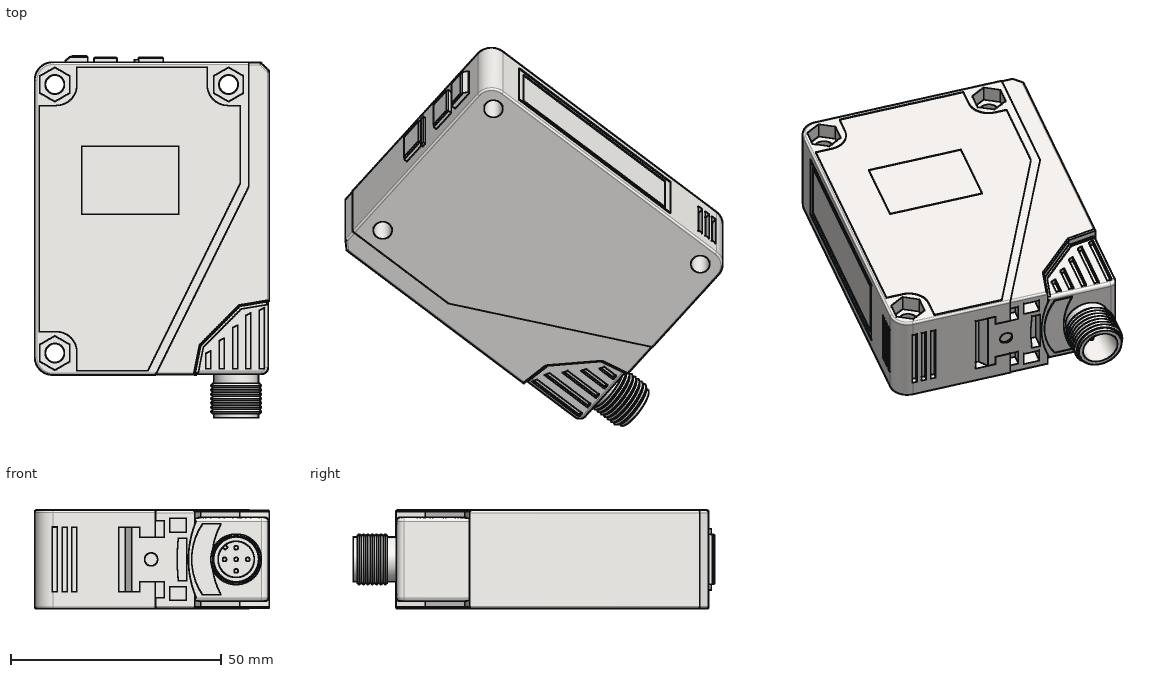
import cadquery as cq
import math


WIDTH = 55.8
LENGTH = 86.0
HEIGHT = 23.5
CONNECTOR_LENGTH = 10.15
BUTTON_HEIGHT = 1.5
DEPTH = LENGTH - CONNECTOR_LENGTH - BUTTON_HEIGHT
HALF = HEIGHT / 2
LEFT_RADIUS = 4.3
BACK_RIGHT_CHAMFER = 2.1
RIM_FILLET = 0.5
OVERRUN = 4.3

COVER_STEP = 0.1
SEAM_X_BACK = 50.9
SEAM_Y_BEND = 44.8
SEAM_X_FRONT = 28.7

HOLE_X = 4.8
HOLE_Y = 5.25
HOLE_PITCH_X = 41.3
HOLE_PITCH_Y = 63.8
HOLE_DIAMETER = 4.5
NUT_ACROSS_FLATS = 7.05
NUT_DEPTH = 3.95

LABEL_DEPTH = 0.2
LABEL_LEFT = 1.1
LABEL_RIGHT = 48.8
LABEL_FRONT = 1.0
LABEL_BACK = DEPTH - 1.2
LABEL_X_FRONT = 26.9
LABEL_Y_BEND = 45.5
PAD_LEFT_X = 10.1
PAD_RIGHT_X = 41.0
PAD_FRONT_Y = 10.3
PAD_BACK_Y = 64.0
PAD_RADIUS = 4.9
PLATE_X, PLATE_Y = 11.2, 38.2
PLATE_WIDTH, PLATE_LENGTH = 23.0, 16.2

WINDOW_Y = 41.7
WINDOW_LENGTH, WINDOW_HEIGHT = 46.6, 17.6
WINDOW_FRAME = 1.5
WINDOW_STEP = 0.2

GRIP_COUNT = 3
GRIP_WIDTH = 1.2
GRIP_DEPTH = 1.3
GRIP_FRONT_START, GRIP_FRONT_PITCH, GRIP_FRONT_HEIGHT = 4.2, 2.3, 15.3
GRIP_SIDE_START, GRIP_SIDE_PITCH, GRIP_SIDE_HEIGHT = 4.5, 2.1, 13.6

LATCH_X = 20.0
LATCH_FLAT = 1.5
LATCH_RAMP = 1.6
LATCH_DEPTH = 2.15
LATCH_HEIGHT = 15.3
TAB_HEAD_X = 25.0
TAB_NECK_HEIGHT = 10.6
SMALL_POCKET_WIDTH, SMALL_POCKET_HEIGHT, SMALL_POCKET_DEPTH = 2.1, 3.9, 2.6
SQUARE_X, SQUARE_Z = 32.15, 6.45
SQUARE_WIDTH, SQUARE_HEIGHT, SQUARE_DEPTH = 3.9, 3.3, 4.3
LAMP_X, LAMP_DIAMETER, LAMP_DEPTH = 27.7, 3.1, 0.5
NOTCH_X, NOTCH_RIGHT_X, NOTCH_HEIGHT, NOTCH_DEPTH = 33.9, 36.2, 10.15, 3.4
NOTCH_BULGE = 0.3

BLOCK_OUTLINE = [(WIDTH, 17.5), (48.7, 16.3), (39.45, 7.0), (38.1, 0.0)]
BLOCK_HALF = 10.0
BLOCK_RIGHT = WIDTH - 0.3
BLOCK_FRONT = 0.2
BLOCK_CORNER_RADIUS = 1.7
BLOCK_EDGE_FILLET = 0.9
RECESS_CHAMFER = 0.35
GAP_WIDTH = 0.7
GAP_DEPTH = 0.2
FACE_ARC_X_END = 38.8
FACE_ARC_X_MID = 36.5
VENT_FIRST_X, VENT_PITCH, VENT_WIDTH = 40.7, 3.2, 1.2
VENT_FRONT, VENT_DEPTH, VENT_SLANT = 1.5, 1.3, 0.6
VENT_LENGTHS = [4.3, 7.3, 10.4, 13.3, 14.5]
SIGN_LEFT_MID, SIGN_LEFT_END = 37.3, 39.9
SIGN_RIGHT_MID, SIGN_RIGHT_END = 42.1, 44.3
SIGN_HALF_HEIGHT = 8.4
SIGN_DEPTH = 0.2

CONNECTOR_X = 47.9
NECK_RADIUS, NECK_LENGTH = 5.3, 2.0
CREST_RADIUS, ROOT_RADIUS = 6.0, 5.6
THREAD_COUNT, THREAD_PITCH = 7, 1.0
TIP_RADIUS = 5.3
SOCKET_RADIUS, SOCKET_DEPTH = 4.3, 8.6
PIN_DIAMETER, PIN_LENGTH, PIN_CIRCLE_RADIUS = 0.95, 2.15, 2.75
KEY_SIZE, KEY_ANGLE = 0.9, 132

BUTTON_HALF_Z = 5.9
BUTTON_CHAMFER = 0.35
BUTTON_ROOT = 0.9
LEVER_X, LEVER_WIDTH, LEVER_SLOPE = 7.3, 5.3, 1.4
KEYS = [(14.1, 5.5), (24.6, 6.0)]
KEY_HEIGHT = 1.2
FOOT_X, FOOT_WIDTH, FOOT_HEIGHT, FOOT_HALF_Z = 23.7, 1.0, 0.6, 7.3


def box(x, y, z, dx, dy, dz):
    """Box from its lowest corner and its sizes."""
    return cq.Workplane("XY").box(dx, dy, dz, centered=False).translate((x, y, z))


def plan_prism(points, z_low, z_high):
    """Prism of a plan outline between two heights."""
    return cq.Workplane("XY").workplane(offset=z_low).polyline(points).close().extrude(z_high - z_low)


def front_plane(y):
    """Sketch plane parallel to the front face; negative extrusion goes into the part."""
    return cq.Workplane("XZ", origin=(0, y, 0))


def front_pocket(x, z_mid, width, height, depth):
    """Rectangular cutter entering the front face."""
    return box(x, 0, z_mid - height / 2, width, depth, height)


def shell(inset):
    """Rounded housing block, drawn in by `inset` at front, back, top and bottom."""
    body = box(0, inset, -HALF + inset, WIDTH, DEPTH - 2 * inset, HEIGHT - 2 * inset)
    body = body.edges("|Z and <X").fillet(LEFT_RADIUS)
    body = body.edges("|Z and >X and >Y").chamfer(BACK_RIGHT_CHAMFER)
    return body.faces("<Z or >Z").edges().fillet(RIM_FILLET)


def housing():
    """Front shell and rear cover joined along the bent seam."""
    far_x = WIDTH + OVERRUN
    slope = (SEAM_X_BACK - SEAM_X_FRONT) / SEAM_Y_BEND
    cover_outline = [
        (SEAM_X_FRONT - slope * OVERRUN, -OVERRUN),
        (SEAM_X_BACK, SEAM_Y_BEND),
        (SEAM_X_BACK, DEPTH + OVERRUN),
        (far_x, DEPTH + OVERRUN),
        (far_x, -OVERRUN),
    ]
    cover_zone = plan_prism(cover_outline, -HEIGHT, HEIGHT)
    return shell(0).cut(cover_zone).union(shell(COVER_STEP).intersect(cover_zone))


def fixing_holes():
    """Through holes with a hexagonal nut pocket at the top."""
    places = [
        (HOLE_X, HOLE_Y),
        (HOLE_X, HOLE_Y + HOLE_PITCH_Y),
        (HOLE_X + HOLE_PITCH_X, HOLE_Y + HOLE_PITCH_Y),
    ]
    plane = cq.Workplane("XY").workplane(offset=-HALF).pushPoints(places)
    holes = plane.circle(HOLE_DIAMETER / 2).extrude(HEIGHT)
    hexagon = cq.Sketch().regularPolygon(NUT_ACROSS_FLATS / math.sqrt(3), 6, 0)
    pockets = cq.Workplane("XY").workplane(offset=HALF - NUT_DEPTH).pushPoints(places)
    return holes.union(pockets.placeSketch(hexagon).extrude(NUT_DEPTH))


def label_recess():
    """Shallow label area, leaving rounded pads around the nut pockets, and the plate in it."""
    floor = HALF - LABEL_DEPTH
    outline = [
        (LABEL_LEFT, LABEL_FRONT),
        (LABEL_LEFT, LABEL_BACK),
        (LABEL_RIGHT, LABEL_BACK),
        (LABEL_RIGHT, LABEL_Y_BEND),
        (LABEL_X_FRONT, LABEL_FRONT),
    ]
    label = plan_prism(outline, floor, HALF)
    pad_length = DEPTH - PAD_BACK_Y
    pads = [
        (box(0, 0, floor, PAD_LEFT_X, PAD_FRONT_Y, LABEL_DEPTH), ">X and >Y"),
        (box(0, PAD_BACK_Y, floor, PAD_LEFT_X, pad_length, LABEL_DEPTH), ">X and <Y"),
        (box(PAD_RIGHT_X, PAD_BACK_Y, floor, WIDTH - PAD_RIGHT_X, pad_length, LABEL_DEPTH), "<X and <Y"),
    ]
    for pad, inner_corner in pads:
        label = label.cut(pad.edges("|Z and " + inner_corner).fillet(PAD_RADIUS))
    plate = box(PLATE_X, PLATE_Y, floor - LABEL_DEPTH, PLATE_WIDTH, PLATE_LENGTH, LABEL_DEPTH)
    return label.union(plate)


def lens_window():
    """Two-step rectangular window in the left side."""
    outer = cq.Workplane("XY").box(2 * WINDOW_STEP, WINDOW_LENGTH, WINDOW_HEIGHT)
    inner = cq.Workplane("XY").box(
        4 * WINDOW_STEP, WINDOW_LENGTH - 2 * WINDOW_FRAME, WINDOW_HEIGHT - 2 * WINDOW_FRAME
    )
    return outer.union(inner).translate((0, WINDOW_Y, 0))


def grip_slots():
    """Upright slots on both sides of the front-left corner."""
    slots = cq.Workplane("XY")
    for i in range(GRIP_COUNT):
        x = GRIP_FRONT_START + i * GRIP_FRONT_PITCH
        y = GRIP_SIDE_START + i * GRIP_SIDE_PITCH
        slots = slots.add(front_pocket(x, 0, GRIP_WIDTH, GRIP_FRONT_HEIGHT, GRIP_DEPTH))
        slots = slots.add(
            box(0, y, -GRIP_SIDE_HEIGHT / 2, GRIP_DEPTH, GRIP_WIDTH, GRIP_SIDE_HEIGHT)
        )
    return slots.combine()


def latch():
    """Ramped latch slot, the cover's T-shaped tab and the pockets around it."""
    ramp_x = LATCH_X + LATCH_FLAT
    tab_x = ramp_x + LATCH_RAMP
    section = [(LATCH_X, 0), (LATCH_X, LATCH_DEPTH), (ramp_x, LATCH_DEPTH), (tab_x, 0)]
    cutter = plan_prism(section, -LATCH_HEIGHT / 2, LATCH_HEIGHT / 2)
    cutter = cutter.union(front_pocket(tab_x, 0, TAB_HEAD_X - tab_x, LATCH_HEIGHT, COVER_STEP))
    neck_width = SEAM_X_FRONT - TAB_HEAD_X + COVER_STEP
    cutter = cutter.union(front_pocket(TAB_HEAD_X, 0, neck_width, TAB_NECK_HEIGHT, COVER_STEP))
    square_z = SQUARE_Z + SQUARE_HEIGHT / 2
    small_z = (TAB_NECK_HEIGHT + SMALL_POCKET_HEIGHT) / 2
    for side in (-1, 1):
        cutter = cutter.union(
            front_pocket(
                SEAM_X_FRONT, side * small_z, SMALL_POCKET_WIDTH, SMALL_POCKET_HEIGHT, SMALL_POCKET_DEPTH
            )
        )
        cutter = cutter.union(
            front_pocket(SQUARE_X, side * square_z, SQUARE_WIDTH, SQUARE_HEIGHT, SQUARE_DEPTH)
        )
    lamp = front_plane(0).center(LAMP_X, 0).circle(LAMP_DIAMETER / 2).extrude(-LAMP_DEPTH)
    half = NOTCH_HEIGHT / 2
    notch = (
        front_plane(0)
        .moveTo(NOTCH_X + NOTCH_BULGE, -half)
        .threePointArc((NOTCH_X, 0), (NOTCH_X + NOTCH_BULGE, half))
        .lineTo(NOTCH_RIGHT_X, half)
        .lineTo(NOTCH_RIGHT_X, -half)
        .close()
        .extrude(-NOTCH_DEPTH)
    )
    return cutter.union(lamp).union(notch)


def block_sketch(z, inset=0.0):
    """Plan outline of the corner block at height z, open sides carried past the housing."""
    back_y = BLOCK_OUTLINE[0][1]
    left_x = BLOCK_OUTLINE[-1][0]
    far = [(left_x, -OVERRUN), (WIDTH + OVERRUN, -OVERRUN), (WIDTH + OVERRUN, back_y)]
    outline = cq.Workplane("XY").workplane(offset=z).polyline(BLOCK_OUTLINE + far).close()
    return outline.offset2D(-inset, "intersection") if inset else outline


def corner_recess():
    """Full-height corner cut with a chamfered rim at top and bottom."""
    cutter = block_sketch(-HEIGHT).extrude(2 * HEIGHT)
    top = HALF - COVER_STEP
    rim = block_sketch(top - RECESS_CHAMFER).extrude(RECESS_CHAMFER, taper=-45)
    return cutter.union(rim).union(rim.mirror("XY"))


def vent(index):
    """One vent slot, its back end slanted."""
    x = VENT_FIRST_X + index * VENT_PITCH
    back = VENT_FRONT + VENT_LENGTHS[index]
    right = x + VENT_WIDTH
    points = [(x, VENT_FRONT), (right, VENT_FRONT), (right, back), (x, back - VENT_SLANT)]
    return plan_prism(points, BLOCK_HALF - VENT_DEPTH, BLOCK_HALF)


def connector_block():
    """Rounded corner block between the recess floors, with a flush lip at its left."""
    limits = box(0, BLOCK_FRONT, -BLOCK_HALF, BLOCK_RIGHT, DEPTH, 2 * BLOCK_HALF)
    limits = limits.edges("|Z and >X and <Y").fillet(BLOCK_CORNER_RADIUS)
    limits = limits.faces("<Z or >Z").edges().fillet(BLOCK_EDGE_FILLET)
    block = limits.intersect(block_sketch(-HALF).extrude(HEIGHT))
    left_x = BLOCK_OUTLINE[-1][0]
    lip_half = BLOCK_HALF - BLOCK_EDGE_FILLET
    lip = box(left_x, 0, -lip_half, FACE_ARC_X_END - left_x, 2 * BLOCK_FRONT, 2 * lip_half)
    block = block.union(lip)
    gap_z = BLOCK_HALF - GAP_DEPTH
    cutter = block_sketch(gap_z).extrude(GAP_DEPTH)
    cutter = cutter.cut(block_sketch(gap_z, GAP_WIDTH).extrude(GAP_DEPTH))
    for index in range(len(VENT_LENGTHS)):
        cutter = cutter.union(vent(index))
    return block.cut(cutter).cut(cutter.mirror("XY"))


def face_step():
    """Cutter setting the housing back to the block's front face, bounded by an arc."""
    return (
        front_plane(0)
        .moveTo(FACE_ARC_X_END, -BLOCK_HALF)
        .threePointArc((FACE_ARC_X_MID, 0), (FACE_ARC_X_END, BLOCK_HALF))
        .close()
        .extrude(-BLOCK_FRONT)
    )


def sign_recess():
    """Shallow curved panel beside the connector."""
    return (
        front_plane(BLOCK_FRONT)
        .moveTo(SIGN_LEFT_END, -SIGN_HALF_HEIGHT)
        .threePointArc((SIGN_LEFT_MID, 0), (SIGN_LEFT_END, SIGN_HALF_HEIGHT))
        .lineTo(SIGN_RIGHT_END, SIGN_HALF_HEIGHT)
        .threePointArc((SIGN_RIGHT_MID, 0), (SIGN_RIGHT_END, -SIGN_HALF_HEIGHT))
        .close()
        .extrude(-SIGN_DEPTH)
    )


def connector():
    """Turned connector with ridged thread, socket, five pins and a key."""
    root_y = BLOCK_FRONT + SIGN_DEPTH
    profile = [(0, root_y), (NECK_RADIUS, root_y), (NECK_RADIUS, -NECK_LENGTH)]
    for i in range(THREAD_COUNT):
        y = -NECK_LENGTH - i * THREAD_PITCH
        profile += [(ROOT_RADIUS, y), (CREST_RADIUS, y - THREAD_PITCH / 2)]
    thread_end = -NECK_LENGTH - THREAD_COUNT * THREAD_PITCH
    profile += [(ROOT_RADIUS, thread_end), (TIP_RADIUS, thread_end)]
    profile += [(TIP_RADIUS, -CONNECTOR_LENGTH), (0, -CONNECTOR_LENGTH)]
    body = cq.Workplane("XY").polyline(profile).close().revolve(360, (0, 0, 0), (0, 1, 0))
    body = body.cut(front_plane(-CONNECTOR_LENGTH).circle(SOCKET_RADIUS).extrude(-SOCKET_DEPTH))
    floor_y = SOCKET_DEPTH - CONNECTOR_LENGTH
    pins = front_plane(floor_y).polarArray(PIN_CIRCLE_RADIUS, 0, 360, 4).circle(PIN_DIAMETER / 2)
    centre_pin = front_plane(floor_y).circle(PIN_DIAMETER / 2)
    key = (
        front_plane(floor_y)
        .transformed(rotate=(0, 0, KEY_ANGLE))
        .center(SOCKET_RADIUS, 0)
        .rect(2 * KEY_SIZE, KEY_SIZE)
    )
    for sketch in (pins, centre_pin, key):
        body = body.union(sketch.extrude(PIN_LENGTH))
    return body.translate((CONNECTOR_X, 0, 0))


def buttons():
    """Sloped lever, two keys and the foot of the second key on the back face."""
    lever_right = LEVER_X + LEVER_WIDTH
    top = DEPTH + BUTTON_HEIGHT
    root_y = DEPTH - BUTTON_ROOT
    lever_outline = [
        (LEVER_X, root_y),
        (LEVER_X, DEPTH + BUTTON_CHAMFER),
        (LEVER_X + LEVER_SLOPE, top),
        (lever_right, top),
        (lever_right, root_y),
    ]
    lever = plan_prism(lever_outline, -BUTTON_HALF_Z, BUTTON_HALF_Z)
    group = lever.faces(">Y").edges().chamfer(BUTTON_CHAMFER)
    for x, width in KEYS:
        key = box(x, root_y, -BUTTON_HALF_Z, width, BUTTON_ROOT + KEY_HEIGHT, 2 * BUTTON_HALF_Z)
        group = group.union(key.faces(">Y").chamfer(BUTTON_CHAMFER))
    foot = box(FOOT_X, root_y, -FOOT_HALF_Z, FOOT_WIDTH, BUTTON_ROOT + FOOT_HEIGHT, 2 * FOOT_HALF_Z)
    return group.union(foot)


body = housing().cut(corner_recess()).union(connector_block())
cutters = (
    fixing_holes(),
    label_recess(),
    lens_window(),
    grip_slots(),
    latch(),
    face_step(),
    sign_recess(),
)
for cutter in cutters:
    body = body.cut(cutter)
result = body.union(connector()).union(buttons())